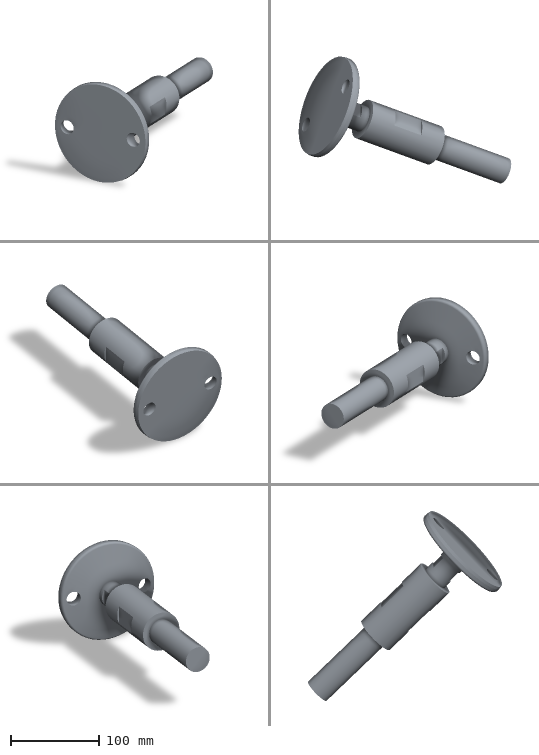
import cadquery as cq
import math

total_length = 237.0
rod_diameter = 30.0
plate_diameter = 118.0
rim_taper_height = 3.5
rim_draft_angle = 10.0
rim_top = 7.0
rim_fillet = 2.5
cone_angle = 10.0

hole_diameter = 16.5
hole_offset = 42.7

neck_flat_start = 24.0
neck_flat_length = 15.0
neck_across_flats = 24.0

sleeve_diameter = 46.0
sleeve_start = 48.8
sleeve_length = 95.0
sleeve_flat_length = 35.5
sleeve_across_flats = 41.0

rod_radius = rod_diameter / 2
plate_radius = plate_diameter / 2
cone_slope = math.radians(cone_angle)
shoulder_center_radius = plate_radius - rim_fillet
cone_start_radius = shoulder_center_radius + rim_fillet * math.sin(cone_slope)
cone_start_height = rim_top + rim_fillet * math.cos(cone_slope)
cone_top = cone_start_height + (cone_start_radius - rod_radius) * math.tan(cone_slope)
plate_base_radius = plate_radius - rim_taper_height * math.tan(math.radians(rim_draft_angle))
sleeve_flat_start = sleeve_start + (sleeve_length - sleeve_flat_length) / 2


def rod_along_y(diameter, start, length):
    """Solid cylinder on the Y axis, growing toward +Y from start."""
    return cq.Workplane("XZ", origin=(0, start, 0)).circle(diameter / 2).extrude(-length)


def cut_wrench_flats(body, diameter, across_flats, start, length):
    """Cut two parallel flats facing -X and +X into a round body."""
    depth = (diameter - across_flats) / 2
    for side in (-1, 1):
        center_x = side * (across_flats + depth) / 2
        cutter = cq.Workplane("XY").box(depth, length, diameter)
        body = body.cut(cutter.translate((center_x, start + length / 2, 0)))
    return body


def make_plate():
    """Round foot plate: drafted rim, rounded shoulder and conical upper face."""
    mid_angle = (math.pi / 2 - cone_slope) / 2
    shoulder_middle = (
        shoulder_center_radius + rim_fillet * math.cos(mid_angle),
        rim_top + rim_fillet * math.sin(mid_angle),
    )
    return (
        cq.Workplane("XY")
        .lineTo(plate_base_radius, 0)
        .lineTo(plate_radius, rim_taper_height)
        .lineTo(plate_radius, rim_top)
        .threePointArc(shoulder_middle, (cone_start_radius, cone_start_height))
        .lineTo(rod_radius, cone_top)
        .lineTo(0, cone_top)
        .close()
        .revolve(360, (0, 0, 0), (0, 1, 0))
    )


def cut_plate_holes(body):
    """Cut the two through holes square to the conical face, leaning outward toward +Y."""
    for side in (-1, 1):
        axis = cq.Vector(side * math.sin(cone_slope), math.cos(cone_slope), 0)
        base_center = cq.Vector(side * hole_offset, 0, 0)
        start = base_center - axis * cone_top
        cutter = cq.Solid.makeCylinder(hole_diameter / 2, 2 * cone_top, start, axis)
        body = body.cut(cq.Workplane(cutter))
    return body


def make_foot():
    """Foot plate and its rod in one piece, with wrench flats on the neck."""
    rod = rod_along_y(rod_diameter, cone_top, total_length - cone_top)
    rod = cut_wrench_flats(rod, rod_diameter, neck_across_flats, neck_flat_start, neck_flat_length)
    return cut_plate_holes(make_plate()).union(rod)


def make_sleeve():
    """Sleeve around the rod, with wrench flats at mid-length."""
    sleeve = rod_along_y(sleeve_diameter, sleeve_start, sleeve_length)
    sleeve = sleeve.cut(rod_along_y(rod_diameter, sleeve_start, sleeve_length))
    return cut_wrench_flats(
        sleeve, sleeve_diameter, sleeve_across_flats, sleeve_flat_start, sleeve_flat_length
    )


foot = make_foot()
sleeve = make_sleeve()

result = cq.Compound.makeCompound([foot.solids().val(), sleeve.solids().val()])